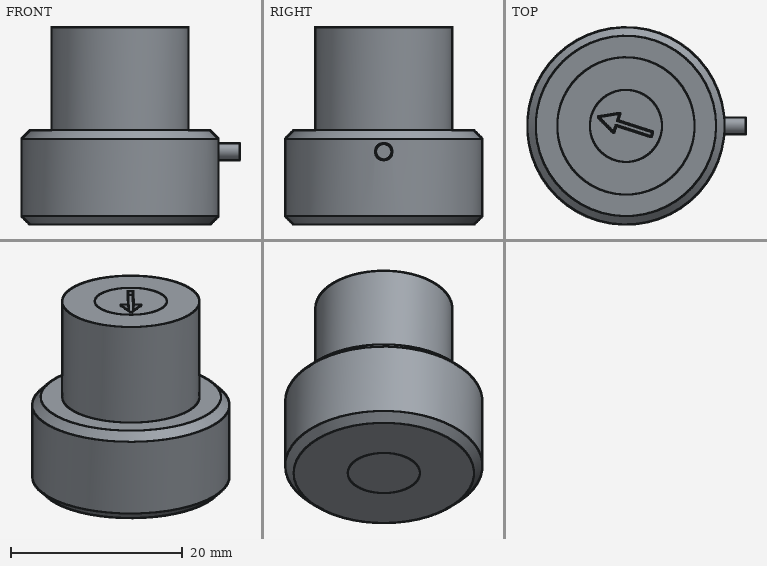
import cadquery as cq

base_diameter = 23.0
base_height = 11.0
base_chamfer = 1.0
stem_diameter = 16.0
total_height = 23.0

insert_diameter = 8.4

pin_diameter = 2.0
pin_projection = 2.5
pin_length = 8.0
pin_end_chamfer = 0.1
pin_height = 8.5
pin_outer_x = base_diameter / 2 + pin_projection
pin_inner_x = pin_outer_x - pin_length

arrow_direction = 162.0
arrow_tip = 3.3
arrow_head_base = 1.16
arrow_tail = -3.14
arrow_head_width = 2.2
arrow_shaft_width = 0.48
arrow_depth = 0.5
arrow_draft_angle = 12.5


def vertical_cylinder(diameter, height):
    return cq.Workplane("XY").circle(diameter / 2).extrude(height)


def pin_cylinder():
    """Plain cylinder filling the space of the pin along X."""
    return (
        cq.Workplane("YZ", origin=(pin_inner_x, 0, pin_height))
        .circle(pin_diameter / 2)
        .extrude(pin_length)
    )


def make_housing():
    base = vertical_cylinder(base_diameter, base_height).edges().chamfer(base_chamfer)
    stem = vertical_cylinder(stem_diameter, total_height)
    bore = vertical_cylinder(insert_diameter, total_height)
    return base.union(stem).cut(bore).cut(pin_cylinder())


def arrow_recess():
    """Arrow-shaped cutter whose walls lean outward from its floor to the top face."""
    half_head = arrow_head_width / 2
    half_shaft = arrow_shaft_width / 2
    outline = [
        (arrow_tip, 0),
        (arrow_head_base, half_head),
        (arrow_head_base, half_shaft),
        (arrow_tail, half_shaft),
        (arrow_tail, -half_shaft),
        (arrow_head_base, -half_shaft),
        (arrow_head_base, -half_head),
    ]
    return (
        cq.Workplane("XY", origin=(0, 0, total_height - arrow_depth))
        .transformed(rotate=(0, 0, arrow_direction))
        .polyline(outline)
        .close()
        .extrude(arrow_depth, taper=-arrow_draft_angle)
    )


def make_insert():
    return vertical_cylinder(insert_diameter, total_height).cut(arrow_recess())


def make_pin():
    return pin_cylinder().faces(">X").edges().chamfer(pin_end_chamfer)


housing = make_housing()
insert = make_insert()
pin = make_pin()

result = cq.Compound.makeCompound([housing.val(), insert.val(), pin.val()])